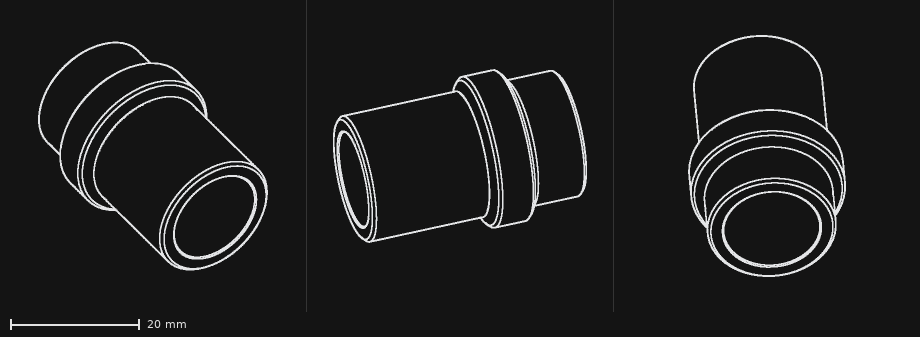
import cadquery as cq

length = 35.0
flange_start = 9.0
flange_width = 6.0
flange_end = flange_start + flange_width

body_radius = 20.0 / 2
flange_radius = 24.0 / 2
bore_radius = 15.0 / 2

outer_chamfer = 0.5
bore_chamfer = 0.2
relief_radius = 0.5
relief_width = 2 * relief_radius


def add_relief(profile, start):
    """Continue the outline through a half-round relief groove that starts at the given station."""
    bottom = (start + relief_radius, body_radius - relief_radius)
    end = (start + relief_width, body_radius)
    return profile.threePointArc(bottom, end)


def make_sleeve():
    """Revolve the half section, drawn as (X, radius), about the X axis."""
    profile = (
        cq.Workplane("XY")
        .moveTo(bore_chamfer, bore_radius)
        .lineTo(0, bore_radius + bore_chamfer)
        .lineTo(0, body_radius - outer_chamfer)
        .lineTo(outer_chamfer, body_radius)
        .lineTo(flange_start - relief_width, body_radius)
    )
    profile = add_relief(profile, flange_start - relief_width)
    profile = (
        profile
        .lineTo(flange_start, flange_radius - outer_chamfer)
        .lineTo(flange_start + outer_chamfer, flange_radius)
        .lineTo(flange_end - outer_chamfer, flange_radius)
        .lineTo(flange_end, flange_radius - outer_chamfer)
        .lineTo(flange_end, body_radius)
    )
    profile = add_relief(profile, flange_end)
    profile = (
        profile
        .lineTo(length - outer_chamfer, body_radius)
        .lineTo(length, body_radius - outer_chamfer)
        .lineTo(length, bore_radius + bore_chamfer)
        .lineTo(length - bore_chamfer, bore_radius)
        .close()
    )
    return profile.revolve(360, (0, 0, 0), (1, 0, 0))


result = make_sleeve()